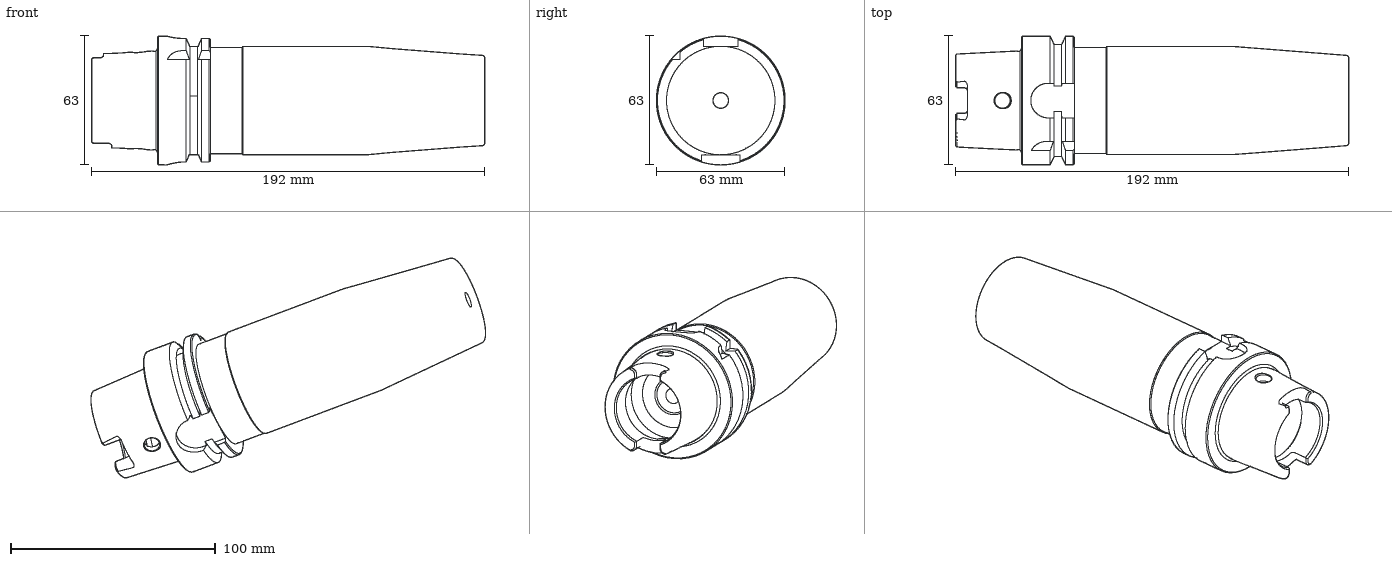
import cadquery as cq
import math

TOTAL_LENGTH = 192.0

SHANK_LENGTH = 32.0
GAUGE_DIAMETER = 48.0
GAUGE_TO_FLANGE = 7.0
TAPER_RATIO = 0.1
REAR_ROUND = 1.0

TAPER_END = 29.5
UNDERCUT_START = 31.0
UNDERCUT_FLOOR_END = 31.3
UNDERCUT_DIAMETER = 48.0
UNDERCUT_MOUTH_DIAMETER = 50.7

FLANGE_DIAMETER = 63.0
FLANGE_WIDTH = 26.0
FLANGE_END = SHANK_LENGTH + FLANGE_WIDTH
FLANGE_CHAMFER = 0.5
GROOVE_CENTER = 50.0
GROOVE_DIAMETER = 55.0
GROOVE_FLOOR_WIDTH = 3.6
GROOVE_TOP_WIDTH = 7.5

NECK_DIAMETER = 52.0
NECK_END = 74.0
BODY_DIAMETER = 53.0
BODY_END = 135.2
NOSE_ANGLE = 4.5
NOSE_ROUND = 1.5

MOUTH_DIAMETER = 34.0
MOUTH_LENGTH = 13.0
MOUTH_CHAMFER = 0.5
MOUTH_CHAMFER_LENGTH = 1.2
CHAMBER_DIAMETER = 40.0
CHAMBER_FLOOR_DIAMETER = 31.5
SHOULDER_ANGLE = 60.0
CHAMBER_DEPTH = SHANK_LENGTH

SCREW_DIAMETER = 16.9
SCREW_LENGTH = 19.2
RECESS_CHAMFER = 0.8
COOLANT_DIAMETER = 7.5

DRIVE_SLOT_WIDTH = 12.3
DRIVE_SLOT_FLOOR_ROUND = 1.5
DRIVE_SLOT_EDGE_ROUND = 2.9
DRIVE_SLOT_LEDGE = 21.0
DRIVE_SLOT_CHAMFER = 0.8
UPPER_DRIVE_DEPTH = 5.8
LOWER_DRIVE_DEPTH = 9.8

CROSS_HOLE_DIAMETER = 7.5
CROSS_HOLE_CHAMFER = 0.5
CROSS_HOLE_X = 22.9

KEYWAY_START = 36.7
KEYWAY_FLOOR = 26.5
UPPER_KEYWAY_WIDTH = 16.9
LOWER_KEYWAY_WIDTH = 19.0

NOTCH_OFFSET = 20.0
NOTCH_CUTTER_RADIUS = UPPER_KEYWAY_WIDTH / 2
NOTCH_START = 36.0
FLAT_DISTANCE = 21.7
FLAT_ANGLE = 42.3


def revolve_profile(points):
    """Turn a closed (x, radius) outline about the X axis."""
    return cq.Workplane("XY").polyline(points).close().revolve(360, (0, 0, 0), (1, 0, 0))


def axial_cylinder(diameter, start, length):
    return cq.Workplane("YZ", origin=(start, 0, 0)).circle(diameter / 2).extrude(length)


def shank_radius(x):
    gauge_x = SHANK_LENGTH - GAUGE_TO_FLANGE
    return (GAUGE_DIAMETER + (x - gauge_x) * TAPER_RATIO) / 2


def turned_blank():
    undercut_radius = UNDERCUT_DIAMETER / 2
    flange_radius = FLANGE_DIAMETER / 2
    groove_radius = GROOVE_DIAMETER / 2
    neck_radius = NECK_DIAMETER / 2
    body_radius = BODY_DIAMETER / 2
    body_step = body_radius - neck_radius
    nose_radius = body_radius - (TOTAL_LENGTH - BODY_END) * math.tan(math.radians(NOSE_ANGLE))
    outline = [
        (0, 0),
        (0, shank_radius(0)),
        (TAPER_END, shank_radius(TAPER_END)),
        (UNDERCUT_START, undercut_radius),
        (UNDERCUT_FLOOR_END, undercut_radius),
        (SHANK_LENGTH, UNDERCUT_MOUTH_DIAMETER / 2),
        (SHANK_LENGTH, flange_radius - FLANGE_CHAMFER),
        (SHANK_LENGTH + FLANGE_CHAMFER, flange_radius),
        (GROOVE_CENTER - GROOVE_TOP_WIDTH / 2, flange_radius),
        (GROOVE_CENTER - GROOVE_FLOOR_WIDTH / 2, groove_radius),
        (GROOVE_CENTER + GROOVE_FLOOR_WIDTH / 2, groove_radius),
        (GROOVE_CENTER + GROOVE_TOP_WIDTH / 2, flange_radius),
        (FLANGE_END - FLANGE_CHAMFER, flange_radius),
        (FLANGE_END, flange_radius - FLANGE_CHAMFER),
        (FLANGE_END, neck_radius),
        (NECK_END - body_step, neck_radius),
        (NECK_END, body_radius),
        (BODY_END, body_radius),
        (TOTAL_LENGTH, nose_radius),
        (TOTAL_LENGTH, 0),
    ]
    blank = revolve_profile(outline)
    blank = blank.faces("<X").edges().fillet(REAR_ROUND)
    return blank.faces(">X").edges().fillet(NOSE_ROUND)


def clamping_chamber():
    mouth_radius = MOUTH_DIAMETER / 2
    chamber_radius = CHAMBER_DIAMETER / 2
    floor_radius = CHAMBER_FLOOR_DIAMETER / 2
    shoulder_length = (chamber_radius - mouth_radius) / math.tan(math.radians(SHOULDER_ANGLE))
    floor_slope = chamber_radius - floor_radius
    return revolve_profile([
        (0, 0),
        (0, mouth_radius + MOUTH_CHAMFER),
        (MOUTH_CHAMFER_LENGTH, mouth_radius),
        (MOUTH_LENGTH, mouth_radius),
        (MOUTH_LENGTH + shoulder_length, chamber_radius),
        (CHAMBER_DEPTH - floor_slope, chamber_radius),
        (CHAMBER_DEPTH, floor_radius),
        (CHAMBER_DEPTH, 0),
    ])


def screw_recess():
    bore_radius = SCREW_DIAMETER / 2
    recess_end = CHAMBER_DEPTH + RECESS_CHAMFER + SCREW_LENGTH
    return revolve_profile([
        (CHAMBER_DEPTH, 0),
        (CHAMBER_DEPTH, bore_radius + RECESS_CHAMFER),
        (CHAMBER_DEPTH + RECESS_CHAMFER, bore_radius),
        (recess_end, bore_radius),
        (recess_end, 0),
    ])


def drive_slot_wire(x, growth):
    """Closed slot section at x, flared outward over rounded edges and widened on each side by growth."""
    half_width = DRIVE_SLOT_WIDTH / 2 + growth
    ledge = DRIVE_SLOT_LEDGE - growth
    edge_round = DRIVE_SLOT_EDGE_ROUND - growth
    bend = edge_round * (1 - math.sqrt(0.5))
    bend_end = half_width + edge_round
    top = FLANGE_DIAMETER / 2
    return (
        cq.Workplane("YZ", origin=(x, 0, 0))
        .moveTo(-half_width, 0)
        .lineTo(half_width, 0)
        .lineTo(half_width, ledge - edge_round)
        .threePointArc((half_width + bend, ledge - bend), (bend_end, ledge))
        .lineTo(DRIVE_SLOT_WIDTH, ledge)
        .lineTo(DRIVE_SLOT_WIDTH, top)
        .lineTo(-DRIVE_SLOT_WIDTH, top)
        .lineTo(-DRIVE_SLOT_WIDTH, ledge)
        .lineTo(-bend_end, ledge)
        .threePointArc((-half_width - bend, ledge - bend), (-half_width, ledge - edge_round))
        .close()
    )


def drive_slot(depth, side):
    """Slot in one shank wall, chamfered at the rear; side is +1 for the upper wall and -1 for the lower."""
    margin = DRIVE_SLOT_FLOOR_ROUND / 10
    floor_corner = cq.selectors.BoxSelector(
        (depth - margin, margin - DRIVE_SLOT_WIDTH, margin),
        (depth + margin, DRIVE_SLOT_WIDTH - margin, FLANGE_DIAMETER / 2 - margin),
    )
    slot = drive_slot_wire(0, 0).extrude(depth).edges(floor_corner).fillet(DRIVE_SLOT_FLOOR_ROUND)
    wide_end = drive_slot_wire(0, DRIVE_SLOT_CHAMFER).val()
    narrow_end = drive_slot_wire(DRIVE_SLOT_CHAMFER, 0).val()
    slot = slot.union(cq.Workplane(cq.Solid.makeLoft([wide_end, narrow_end], True)))
    return slot if side > 0 else slot.mirror("XY")


def cross_hole():
    """Hole through both shank walls, countersunk where it leaves the taper."""
    radius = CROSS_HOLE_DIAMETER / 2
    rim = radius + CROSS_HOLE_CHAMFER
    wall = shank_radius(CROSS_HOLE_X)
    top = FLANGE_DIAMETER / 2
    upper_half = (
        cq.Workplane("XZ")
        .polyline([
            (0, 0),
            (radius, 0),
            (radius, wall - CROSS_HOLE_CHAMFER),
            (rim, wall),
            (rim, top),
            (0, top),
        ])
        .close()
        .revolve(360, (0, 0, 0), (0, 1, 0))
        .translate((CROSS_HOLE_X, 0, 0))
    )
    return upper_half.union(upper_half.mirror("XY"))


def keyway(width, side):
    """Round-ended keyway that runs out of the front of the flange."""
    radius = width / 2
    center_x = KEYWAY_START + radius
    height = FLANGE_DIAMETER / 2
    plan = (
        cq.Workplane("XY", origin=(0, 0, KEYWAY_FLOOR))
        .moveTo(FLANGE_END, -radius)
        .lineTo(center_x, -radius)
        .threePointArc((KEYWAY_START, 0), (center_x, radius))
        .lineTo(FLANGE_END, radius)
        .close()
        .extrude(height)
    )
    return plan if side > 0 else plan.mirror("XY")


def corner_notch():
    """Step milled into the flange at 45 degrees, with a rounded end."""
    inner = -NOTCH_OFFSET
    outer = inner - NOTCH_CUTTER_RADIUS
    center_x = NOTCH_START + NOTCH_CUTTER_RADIUS
    diagonal = NOTCH_CUTTER_RADIUS * math.sqrt(0.5)
    return (
        cq.Workplane("XY", origin=(0, 0, NOTCH_OFFSET))
        .moveTo(FLANGE_END, inner)
        .lineTo(center_x, inner)
        .threePointArc((center_x - diagonal, outer + diagonal), (NOTCH_START, outer))
        .lineTo(FLANGE_END, outer)
        .close()
        .extrude(FLANGE_DIAMETER / 2)
    )


def groove_flat():
    """Block that cuts the flat into the floor of the gripper groove."""
    depth = FLANGE_DIAMETER / 2 - FLAT_DISTANCE
    return (
        cq.Workplane("XY")
        .box(GROOVE_FLOOR_WIDTH, depth, FLANGE_DIAMETER, centered=(True, False, True))
        .translate((GROOVE_CENTER, -FLAT_DISTANCE - depth, 0))
        .rotate((0, 0, 0), (1, 0, 0), -FLAT_ANGLE)
    )


def make_holder():
    return (
        turned_blank()
        .cut(clamping_chamber())
        .cut(screw_recess())
        .cut(axial_cylinder(COOLANT_DIAMETER, 0, TOTAL_LENGTH))
        .cut(drive_slot(UPPER_DRIVE_DEPTH, 1))
        .cut(drive_slot(LOWER_DRIVE_DEPTH, -1))
        .cut(cross_hole())
        .cut(keyway(UPPER_KEYWAY_WIDTH, 1))
        .cut(keyway(LOWER_KEYWAY_WIDTH, -1))
        .cut(corner_notch())
        .cut(groove_flat())
    )


def make_screw():
    start = CHAMBER_DEPTH + RECESS_CHAMFER
    screw = axial_cylinder(SCREW_DIAMETER, start, SCREW_LENGTH)
    return screw.cut(axial_cylinder(COOLANT_DIAMETER, start, SCREW_LENGTH))


holder = make_holder()
screw = make_screw()
result = cq.Compound.makeCompound([holder.val(), screw.val()])